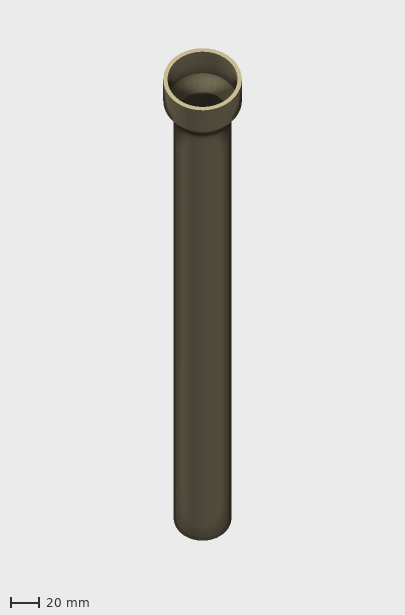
import cadquery as cq

total_length = 508.0
pipe_diameter = 41.0
socket_diameter = 56.0
wall = 3.0
socket_length = 25.0
flare_length = 12.5

pipe_radius = pipe_diameter / 2
socket_radius = socket_diameter / 2
flare_top = total_length - socket_length
flare_bottom = flare_top - flare_length

wall_section = (
    cq.Workplane("XZ")
    .moveTo(pipe_radius - wall, 0)
    .lineTo(pipe_radius, 0)
    .lineTo(pipe_radius, flare_bottom)
    .lineTo(socket_radius, flare_top)
    .lineTo(socket_radius, total_length)
    .lineTo(socket_radius - wall, total_length)
    .lineTo(socket_radius - wall, flare_top)
    .lineTo(pipe_radius - wall, flare_bottom)
    .close()
)

result = wall_section.revolve(360, (0, 0, 0), (0, 1, 0))